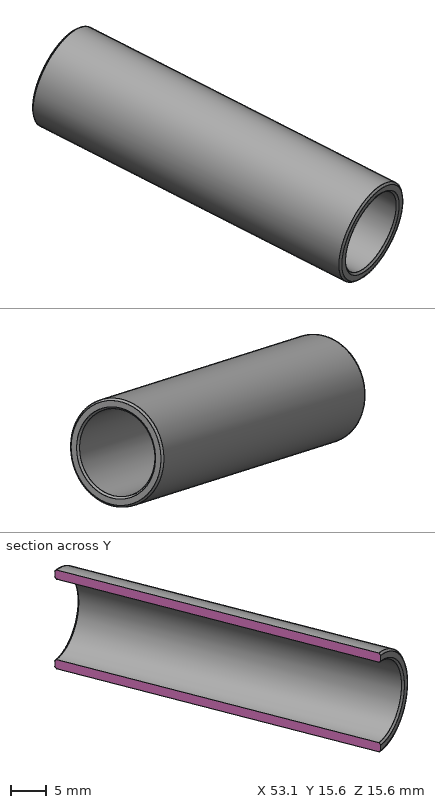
import cadquery as cq

length = 53.1
outer_diameter = 15.6
bore_diameter = 12.6
rim_chamfer = 0.305

end_plane = cq.Workplane("YZ").workplane(offset=-length / 2)
tube = end_plane.circle(outer_diameter / 2).circle(bore_diameter / 2).extrude(length)

result = tube.faces("<X or >X").edges().chamfer(rim_chamfer)